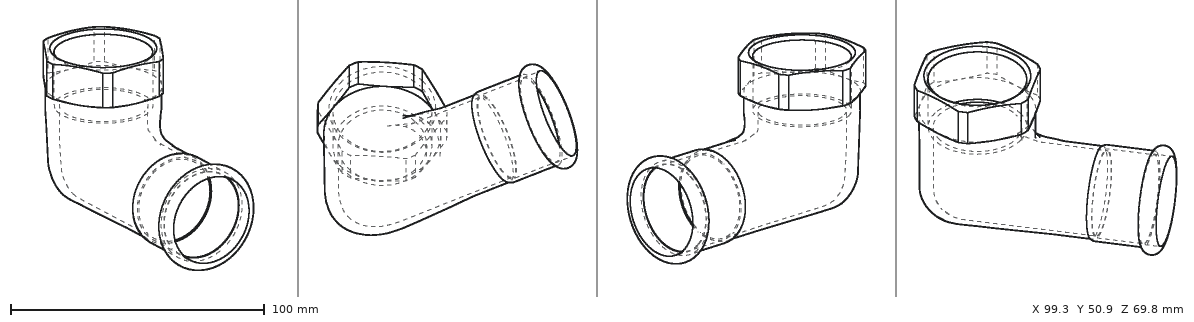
import cadquery as cq
import math


total_length = 99.3
total_height = 69.8

hex_flats = 46.0
hex_corners = 50.9
hex_height = 16.0
hex_chamfer_angle = 15.0
collar_height = 8.9
thread_bore = 38.9
thread_depth = 24.0
thread_mouth = 42.1
thread_mouth_depth = 1.6
neck_bore = 35.0

pipe_diameter = 37.0
pipe_bore = 34.0
pipe_start = 33.0
socket_diameter = 38.4
socket_bore = 35.4
socket_length = 28.0
socket_step_length = 1.8
socket_mouth = 35.8
bead_diameter = 43.6
bead_width = 7.1

heel_radius = 13.9
throat_radius = 2.5
bore_heel_radius = 10.9
bore_throat_radius = 1.0
elbow_sections = 25

collar_radius = hex_flats / 2
top = total_height - bead_diameter / 2
hex_bottom = top - hex_height
collar_bottom = hex_bottom - collar_height
thread_bottom = top - thread_depth
pipe_end = total_length - collar_radius
socket_start = pipe_end - socket_length
bead_radius = bead_width / 2
bead_center_x = pipe_end - bead_radius
bead_center_radius = bead_diameter / 2 - bead_radius


def cylinder_z(diameter, bottom, upper):
    return cq.Workplane("XY").workplane(offset=bottom).circle(diameter / 2).extrude(upper - bottom)


def cylinder_x(diameter, start, end):
    return cq.Workplane("YZ").workplane(offset=start).circle(diameter / 2).extrude(end - start)


def rounded_corner_distance(angle, side_x, side_z, radius):
    """Distance along a ray, at an angle below horizontal, from the pivot to an L-shaped wall
    made of a vertical line, a corner arc and a horizontal line. Sides are measured from the pivot."""
    ray_x = math.cos(angle)
    ray_z = math.sin(angle)
    center_x = side_x - radius
    center_z = side_z - radius
    if side_x * ray_z <= center_z * ray_x:
        return side_x / ray_x
    if side_z * ray_x <= center_x * ray_z:
        return side_z / ray_z
    along = center_x * ray_x + center_z * ray_z
    across = center_x * ray_z - center_z * ray_x
    return along + math.sqrt(radius**2 - across**2)


def elbow(vertical_radius, pipe_radius, outer_radius, inner_radius):
    """Loft of ellipses on planes that turn about one pivot line, from a horizontal circle under
    the collar to the upright circle where the pipe begins."""
    sections = []
    for i in range(elbow_sections):
        turn = i / (elbow_sections - 1)
        angle = turn * math.pi / 2
        outer = rounded_corner_distance(
            angle, pipe_start + vertical_radius, collar_bottom + pipe_radius, outer_radius
        )
        inner = rounded_corner_distance(
            angle, pipe_start - vertical_radius, collar_bottom - pipe_radius, inner_radius
        )
        middle = (outer + inner) / 2
        center = cq.Vector(
            pipe_start - middle * math.cos(angle), 0, collar_bottom - middle * math.sin(angle)
        )
        across = cq.Vector(math.cos(angle), 0, math.sin(angle))
        normal = cq.Vector(math.sin(angle), 0, -math.cos(angle))
        half_width = vertical_radius + (pipe_radius - vertical_radius) * turn
        half_depth = (outer - inner) / 2
        ellipse = cq.Edge.makeEllipse(half_depth, half_width, center, normal, across, -90, 270)
        sections.append(cq.Wire.assembleEdges([ellipse]))
    return cq.Workplane(cq.Solid.makeLoft(sections))


def chamfered_hexagon():
    """Hexagon with flats facing +X and -X, corners turned round and eased by cones at both ends."""
    hexagon = (
        cq.Workplane("XY")
        .workplane(offset=hex_bottom)
        .polygon(6, hex_flats / math.cos(math.pi / 6))
        .extrude(hex_height)
        .rotate((0, 0, 0), (0, 0, 1), 30)
    )
    corner_radius = hex_corners / 2
    chamfer_drop = (corner_radius - collar_radius) * math.tan(math.radians(hex_chamfer_angle))
    envelope = (
        cq.Workplane("XZ")
        .moveTo(0, hex_bottom)
        .lineTo(collar_radius, hex_bottom)
        .lineTo(corner_radius, hex_bottom + chamfer_drop)
        .lineTo(corner_radius, top - chamfer_drop)
        .lineTo(collar_radius, top)
        .lineTo(0, top)
        .close()
        .revolve(360, (0, 0, 0), (0, 1, 0))
    )
    return hexagon.intersect(envelope)


def press_end():
    """Pipe that widens through a rounded step into the socket, ended by a bead of round section."""
    pipe = cylinder_x(pipe_diameter, pipe_start, socket_start)
    step_end = socket_start + socket_step_length
    step_rise = (socket_diameter - pipe_diameter) / 2
    step_radius = (socket_step_length**2 + step_rise**2) / (2 * step_rise)
    step_lean = math.asin(socket_step_length / step_radius) / 2
    step_middle = (
        step_end - step_radius * math.sin(step_lean),
        socket_diameter / 2 - step_radius * (1 - math.cos(step_lean)),
    )
    socket = (
        cq.Workplane("XY")
        .moveTo(socket_start, 0)
        .lineTo(socket_start, pipe_diameter / 2)
        .threePointArc(step_middle, (step_end, socket_diameter / 2))
        .lineTo(bead_center_x, socket_diameter / 2)
        .lineTo(bead_center_x, 0)
        .close()
        .revolve(360, (0, 0, 0), (1, 0, 0))
    )
    bead = (
        cq.Workplane("XY")
        .center(bead_center_x, bead_center_radius)
        .circle(bead_radius)
        .revolve(360, (0, -bead_center_radius, 0), (1, -bead_center_radius, 0))
    )
    bead_core = cylinder_x(2 * bead_center_radius, bead_center_x, pipe_end)
    return pipe.union(socket).union(bead).union(bead_core)


def thread_entry():
    """Counterbore for the thread with a conical mouth, stepping down to the neck bore."""
    return (
        cq.Workplane("XZ")
        .moveTo(0, collar_bottom)
        .lineTo(neck_bore / 2, collar_bottom)
        .lineTo(neck_bore / 2, thread_bottom)
        .lineTo(thread_bore / 2, thread_bottom)
        .lineTo(thread_bore / 2, top - thread_mouth_depth)
        .lineTo(thread_mouth / 2, top)
        .lineTo(0, top)
        .close()
        .revolve(360, (0, 0, 0), (0, 1, 0))
    )


outside = (
    elbow(collar_radius, pipe_diameter / 2, heel_radius, throat_radius)
    .union(cylinder_z(hex_flats, collar_bottom, hex_bottom))
    .union(chamfered_hexagon())
    .union(press_end())
)

result = (
    outside
    .cut(elbow(neck_bore / 2, pipe_bore / 2, bore_heel_radius, bore_throat_radius))
    .cut(thread_entry())
    .cut(cylinder_x(pipe_bore, pipe_start, pipe_end))
    .cut(cylinder_x(socket_bore, socket_start + socket_step_length, pipe_end))
    .cut(cylinder_x(socket_mouth, pipe_end - bead_width, pipe_end))
)